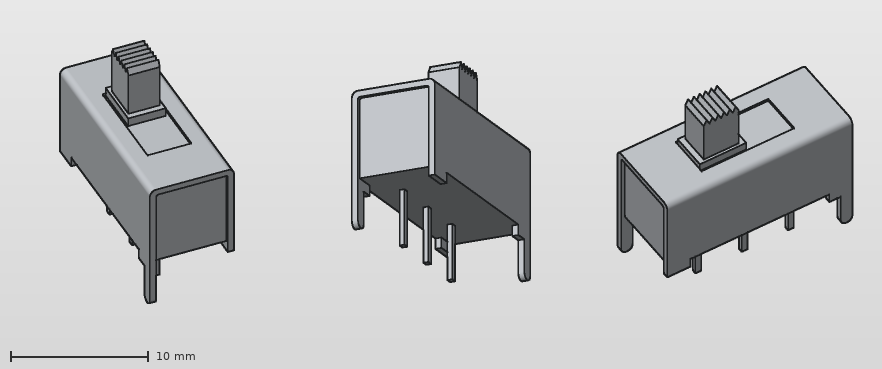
import cadquery as cq


cover_length = 16.0
cover_width = 6.7
sheet = 0.5
outer_bend_radius = 0.5
inner_bend_radius = 0.2
skirt_depth = 7.5
leg_width = 1.0
leg_depth = 10.5
skirt_corner_length = 2.0

body_end_recess = 0.3
body_length = cover_length - 2 * body_end_recess
body_width = cover_width - 2 * sheet
body_bottom_depth = 6.7

window_length = 8.0
window_width = 3.5
window_depth = 0.2

slider_base_length = window_length / 2
slider_base_width = 3.0
slider_base_height = 0.5
slider_x = (slider_base_length - window_length) / 2
knob_length = 3.0
knob_width = 2.5
knob_top_height = 4.5
tooth_count = 6
tooth_height = 0.5

pin_pitch = 4.0
pin_length_x = 0.5
pin_width_y = 0.4
pin_y = -1.1
pin_tip_depth = 11.0


def block(length, width, bottom, top, x=0.0, y=0.0):
    """Box centred at (x, y), reaching from Z = bottom to Z = top."""
    return (
        cq.Workplane("XY", origin=(x, y, bottom))
        .box(length, width, top - bottom, centered=(True, True, False))
    )


def make_cover_channel():
    """U-shaped cover with both side walls ending level with the body bottom."""
    outer = (
        block(cover_length, cover_width, -body_bottom_depth, 0)
        .edges("|X and >Z")
        .fillet(outer_bend_radius)
    )
    inner = (
        block(cover_length, body_width, -body_bottom_depth, -sheet)
        .edges("|X and >Z")
        .fillet(inner_bend_radius)
    )
    return outer.cut(inner)


def make_skirt_pieces():
    """Lower -Y wall: a tab with a round-tipped leg at +X and a plain tab at -X."""
    half_length = cover_length / 2
    tip_radius = leg_width / 2
    tab_inner_x = half_length - skirt_corner_length
    leg_inner_x = half_length - leg_width
    tip_start = -leg_depth + tip_radius
    wall_outer_y = -cover_width / 2

    leg_tab = (
        cq.Workplane("XZ", origin=(0, wall_outer_y + sheet, 0))
        .moveTo(tab_inner_x, -body_bottom_depth)
        .lineTo(tab_inner_x, -skirt_depth)
        .lineTo(leg_inner_x, -skirt_depth)
        .lineTo(leg_inner_x, tip_start)
        .threePointArc((half_length - tip_radius, -leg_depth), (half_length, tip_start))
        .lineTo(half_length, -body_bottom_depth)
        .close()
        .extrude(sheet)
    )
    plain_tab = block(
        skirt_corner_length,
        sheet,
        -skirt_depth,
        -body_bottom_depth,
        x=-half_length + skirt_corner_length / 2,
        y=wall_outer_y + sheet / 2,
    )
    return leg_tab, plain_tab


def make_cover():
    """Complete cover without its window; the two side walls match under a half turn about Z."""
    cover = make_cover_channel()
    for piece in make_skirt_pieces():
        cover = cover.union(piece)
        cover = cover.union(piece.rotate((0, 0, 0), (0, 0, 1), 180))
    return cover


def make_body():
    """Plastic body that fills the cover, with its top edges following the bends."""
    return (
        block(body_length, body_width, -body_bottom_depth, -sheet)
        .edges("|X and >Z")
        .fillet(inner_bend_radius)
    )


def make_slider():
    """Flat base and a knob topped with a row of triangular grip teeth."""
    base = block(
        slider_base_length, slider_base_width, -window_depth, slider_base_height, x=slider_x
    )
    tooth_pitch = knob_length / tooth_count
    tooth_root = knob_top_height - tooth_height
    knob_left = slider_x - knob_length / 2

    outline = (
        cq.Workplane("XZ", origin=(0, knob_width / 2, 0))
        .moveTo(knob_left + knob_length, slider_base_height)
        .lineTo(knob_left, slider_base_height)
        .lineTo(knob_left, tooth_root)
    )
    for index in range(tooth_count):
        tooth_left = knob_left + index * tooth_pitch
        outline = outline.lineTo(tooth_left + tooth_pitch / 2, knob_top_height)
        outline = outline.lineTo(tooth_left + tooth_pitch, tooth_root)
    return base.union(outline.close().extrude(knob_width))


def make_pin(x):
    """Rectangular terminal hanging from the body bottom."""
    return block(pin_length_x, pin_width_y, -pin_tip_depth, -body_bottom_depth, x=x, y=pin_y)


window = block(window_length, window_width, -window_depth, 0)

result = make_cover().union(make_body()).cut(window).union(make_slider())
for position in (-1, 0, 1):
    result = result.union(make_pin(position * pin_pitch))